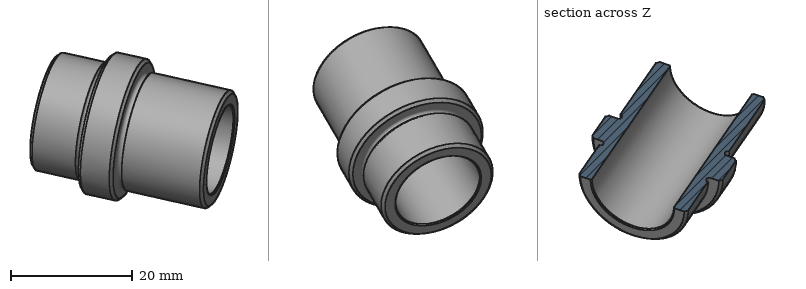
import cadquery as cq

length = 30.0
body_radius = 20.0 / 2
collar_radius = 24.0 / 2
bore_radius = 15.0 / 2
collar_start = 9.0
collar_width = 6.0
groove_width = 1.0
edge_chamfer = 0.5
bore_chamfer = 0.2

left_end = -length / 2
right_end = length / 2
collar_left = left_end + collar_start
collar_right = collar_left + collar_width
groove_radius = groove_width / 2
groove_floor_radius = body_radius - groove_radius


def outer_profile():
    """Half section of the solid sleeve, with a round undercut on each side of the collar."""
    return (
        cq.Workplane("XY")
        .moveTo(left_end, 0)
        .lineTo(left_end, body_radius - edge_chamfer)
        .lineTo(left_end + edge_chamfer, body_radius)
        .lineTo(collar_left - groove_width, body_radius)
        .threePointArc((collar_left - groove_radius, groove_floor_radius), (collar_left, body_radius))
        .lineTo(collar_left, collar_radius - edge_chamfer)
        .lineTo(collar_left + edge_chamfer, collar_radius)
        .lineTo(collar_right - edge_chamfer, collar_radius)
        .lineTo(collar_right, collar_radius - edge_chamfer)
        .lineTo(collar_right, body_radius)
        .threePointArc(
            (collar_right + groove_radius, groove_floor_radius),
            (collar_right + groove_width, body_radius),
        )
        .lineTo(right_end - edge_chamfer, body_radius)
        .lineTo(right_end, body_radius - edge_chamfer)
        .lineTo(right_end, 0)
        .close()
    )


def bore_profile():
    """Half section of the through bore, flared by a small chamfer at each mouth."""
    mouth_radius = bore_radius + bore_chamfer
    return (
        cq.Workplane("XY")
        .moveTo(left_end, 0)
        .lineTo(left_end, mouth_radius)
        .lineTo(left_end + bore_chamfer, bore_radius)
        .lineTo(right_end - bore_chamfer, bore_radius)
        .lineTo(right_end, mouth_radius)
        .lineTo(right_end, 0)
        .close()
    )


def turned(profile):
    """Revolve a half section about the X axis."""
    return profile.revolve(360, (0, 0, 0), (1, 0, 0))


result = turned(outer_profile()).cut(turned(bore_profile()))